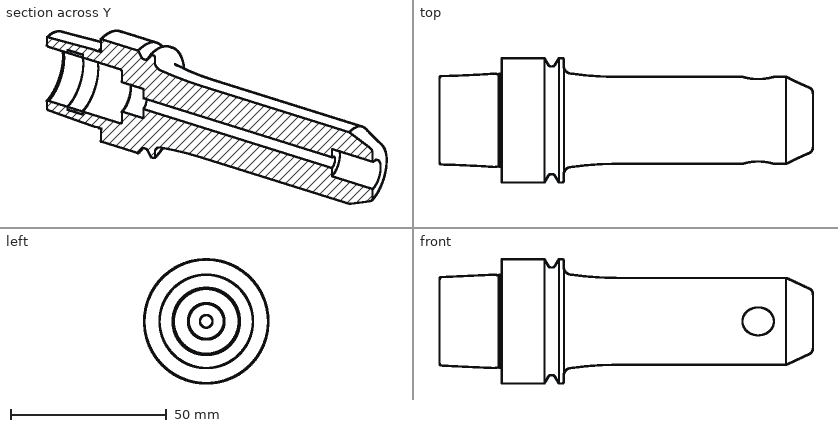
import cadquery as cq
import math


shank_length = 19.9
shank_tip_radius = 14.25
shank_tip_rounding = 0.7
taper_end = -2.1
taper_end_radius = 15.05
shank_root_radius = 15.0

neck_radius = 14.85
neck_start = -1.3
neck_end = -0.95
root_start = -0.6
dish_radius = 16.05
dish_depth = 0.2

flange_radius = 20.0
flange_length = 20.0
flange_front_chamfer = 0.2
flange_back_rounding = 0.55
groove_start = 13.8
groove_end = 18.4
groove_floor_radius = 17.35
groove_flank_angle = 60.0
groove_rounding = 0.8

flare_fillet = 2.4
flare_start_radius = 15.04
flare_end = 36.8
flare_arc_radius = 100.0
arbor_radius = 14.0
arbor_end = 100.0
tip_cone_start = 91.4
tip_cone_angle = 25.0
tip_rounding = 2.0

mouth_radius = 10.85
mouth_chamfer_length = 0.75
socket_radius = 10.4
socket_depth = 27.6
socket_floor_fillet = 0.55
coolant_thread_radius = 5.6
coolant_thread_chamfer = 0.3
coolant_thread_depth = 8.0
through_bore_radius = 2.0
end_bore_radius = 5.2
end_bore_depth = 15.0

ring_start_depth = 7.75
ring_length = 5.5
ring_outer_radius = 11.5

seat_position = 82.4
seat_ball_radius = 6.0
seat_ball_offset = 17.25


def turned(outline):
    """Revolve a closed outline, drawn in the XZ plane, about the X axis."""
    return outline.close().revolve(360, (0, 0, 0), (1, 0, 0))


def outer_body():
    flank_lean = math.radians(groove_flank_angle)
    flank_run = (flange_radius - groove_floor_radius) / math.tan(flank_lean)
    tangent = groove_rounding * math.tan(flank_lean / 2)
    floor_start = groove_start + flank_run
    floor_end = groove_end - flank_run
    flank_step = tangent * math.cos(flank_lean)
    round_radius = groove_floor_radius + tangent * math.sin(flank_lean)

    cone = math.radians(tip_cone_angle)
    rounding_start = arbor_end - tip_rounding * (1 - math.sin(cone))
    rounding_radius = arbor_radius - (rounding_start - tip_cone_start) * math.tan(cone)
    end_face_radius = rounding_radius - tip_rounding * math.cos(cone)

    outline = (
        cq.Workplane("XZ")
        .moveTo(-shank_length, 0)
        .lineTo(-shank_length, shank_tip_radius - shank_tip_rounding)
        .radiusArc((-shank_length + shank_tip_rounding, shank_tip_radius), shank_tip_rounding)
        .lineTo(taper_end, taper_end_radius)
        .lineTo(neck_start, neck_radius)
        .lineTo(neck_end, neck_radius)
        .lineTo(root_start, shank_root_radius)
        .lineTo(dish_depth, shank_root_radius)
        .lineTo(0, dish_radius)
        .lineTo(0, flange_radius - flange_front_chamfer)
        .lineTo(flange_front_chamfer, flange_radius)
        .lineTo(groove_start, flange_radius)
        .lineTo(floor_start - flank_step, round_radius)
        .radiusArc((floor_start + tangent, groove_floor_radius), -groove_rounding)
        .lineTo(floor_end - tangent, groove_floor_radius)
        .radiusArc((floor_end + flank_step, round_radius), -groove_rounding)
        .lineTo(groove_end, flange_radius)
        .lineTo(flange_length - flange_back_rounding, flange_radius)
        .radiusArc((flange_length, flange_radius - flange_back_rounding), flange_back_rounding)
        .lineTo(flange_length, flare_start_radius + flare_fillet)
        .radiusArc((flange_length + flare_fillet, flare_start_radius), -flare_fillet)
        .radiusArc((flare_end, arbor_radius), -flare_arc_radius)
        .lineTo(tip_cone_start, arbor_radius)
        .lineTo(rounding_start, rounding_radius)
        .radiusArc((arbor_end, end_face_radius), tip_rounding)
        .lineTo(arbor_end, 0)
    )
    return turned(outline)


def axial_bores():
    mouth = -shank_length
    floor = mouth + socket_depth
    outline = (
        cq.Workplane("XZ")
        .moveTo(mouth, 0)
        .lineTo(mouth, mouth_radius)
        .lineTo(mouth + mouth_chamfer_length, socket_radius)
        .lineTo(floor - socket_floor_fillet, socket_radius)
        .radiusArc((floor, socket_radius - socket_floor_fillet), socket_floor_fillet)
        .lineTo(floor, coolant_thread_radius + coolant_thread_chamfer)
        .lineTo(floor + coolant_thread_chamfer, coolant_thread_radius)
        .lineTo(floor + coolant_thread_depth, coolant_thread_radius)
        .lineTo(floor + coolant_thread_depth, through_bore_radius)
        .lineTo(arbor_end - end_bore_depth, through_bore_radius)
        .lineTo(arbor_end - end_bore_depth, end_bore_radius)
        .lineTo(arbor_end, end_bore_radius)
        .lineTo(arbor_end, 0)
    )
    return turned(outline)


def make_socket_ring():
    return (
        cq.Workplane("YZ")
        .workplane(offset=-shank_length + ring_start_depth)
        .circle(ring_outer_radius)
        .circle(socket_radius)
        .extrude(ring_length)
    )


def make_holder(ring):
    holder = outer_body().cut(axial_bores()).cut(ring)
    for side in (-1, 1):
        ball = cq.Workplane("XY").sphere(seat_ball_radius)
        holder = holder.cut(ball.translate((seat_position, side * seat_ball_offset, 0)))
    return holder


socket_ring = make_socket_ring()
holder = make_holder(socket_ring)

result = cq.Compound.makeCompound([holder.val(), socket_ring.val()])